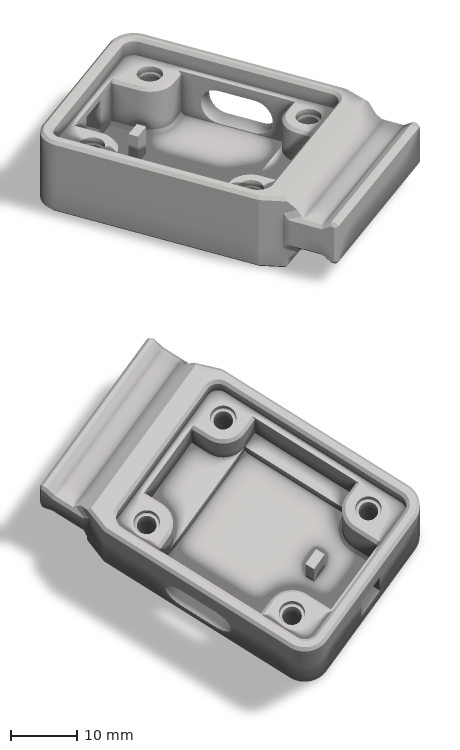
import cadquery as cq
import math

LENGTH = 50.65
WIDTH = 32.0
HEIGHT = 13.0
EDGE = 0.5
HALF_WIDTH = WIDTH / 2

CORNER_RADIUS = 4.0
TAPER_START_X = 38
TAPER_SLOPE = math.tan(math.radians(20))
FOOT_END_X = 42.05

RAIL_WIDTH = 30.0
RAIL_MID_Z = 7.2
RAIL_WEB_HALF = 2.8
RAIL_LIP_HALF = 3.8
RAIL_LIP_X = 49.5
RAIL_LIP_RUN = 1.5
GUSSET_END_X = 44.6
GUSSET_RUN = GUSSET_END_X - FOOT_END_X
RAIL_HALF_WIDTH = RAIL_WIDTH / 2
COLLAR = 0.6

RIM = 1.5
RECESS_END_X = 38.55
LEDGE_Z = 10.0

CAVITY_START_X = 2.9
CAVITY_END_X = 37.0
CAVITY_HALF_WIDTH = 13.0
FLOOR_Z = 2.0
STEP_Z = 4.0

POST_X = (7.45, 34.0)
POST_Y = 10.35
POST_RADIUS = 4.0
BORE_DIAMETER = 3.0
COUNTERBORE_DIAMETER = 4.0
COUNTERBORE_DEPTH = 1.0

WINDOW_WIDTH = 4.95
WINDOW_BOTTOM_Z = 3.25
WINDOW_TOP_Z = 8.8
SLOT_LENGTH = 12.0
SLOT_HEIGHT = 6.0
SLOT_MID_Z = 5.15
TAB_START_X = 9.4
TAB_THICKNESS = 1.55
TAB_WIDTH = 2.95
TAB_TOP_Z = 6.95


def box(x_range, y_range, z_range):
    """Axis-aligned block between pairs of limits."""
    (x0, x1), (y0, y1), (z0, z1) = x_range, y_range, z_range
    return cq.Workplane("XY").box(x1 - x0, y1 - y0, z1 - z0, centered=False).translate((x0, y0, z0))


def make_body():
    """Rounded block whose sides taper in towards the rail, ending in 45 degree gussets."""
    end_half = HALF_WIDTH - (GUSSET_END_X - TAPER_START_X) * TAPER_SLOPE
    foot_half = HALF_WIDTH - (FOOT_END_X - TAPER_START_X) * TAPER_SLOPE

    def block(end_x, half):
        outline = [
            (0, -HALF_WIDTH),
            (TAPER_START_X, -HALF_WIDTH),
            (end_x, -half),
            (end_x, half),
            (TAPER_START_X, HALF_WIDTH),
            (0, HALF_WIDTH),
        ]
        solid = cq.Workplane("XY").polyline(outline).close().extrude(HEIGHT)
        return solid.edges("|Z and <X").fillet(CORNER_RADIUS)

    foot = block(FOOT_END_X, foot_half).faces("<Z").edges().chamfer(EDGE)
    upper = block(GUSSET_END_X, end_half).faces(">Z").edges().chamfer(EDGE)

    web_top = RAIL_MID_Z + RAIL_WEB_HALF
    web_bottom = RAIL_MID_Z - RAIL_WEB_HALF
    foot_top = web_bottom - GUSSET_RUN
    side = [
        (0, foot_top),
        (FOOT_END_X, foot_top),
        (GUSSET_END_X, web_bottom),
        (GUSSET_END_X, web_top),
        (GUSSET_END_X - (HEIGHT - web_top), HEIGHT),
        (0, HEIGHT),
    ]
    profile = cq.Workplane("XZ").polyline(side).close().extrude(HALF_WIDTH, both=True)
    low = box((0, LENGTH), (-HALF_WIDTH, HALF_WIDTH), (0, foot_top))
    return upper.union(make_rail_root()).intersect(profile).union(foot.intersect(low))


def make_rail_root():
    """Inner end of the rail, whose side bevels run on at 45 degrees into the gussets."""
    bevel_z = RAIL_WEB_HALF - EDGE
    quarter = [
        (RAIL_HALF_WIDTH, bevel_z),
        (RAIL_HALF_WIDTH - GUSSET_RUN, bevel_z + GUSSET_RUN),
    ]
    section = quarter + [(-y, z) for y, z in reversed(quarter)]
    section += [(-y, -z) for y, z in section]
    start = cq.Workplane("YZ", origin=(FOOT_END_X, 0, RAIL_MID_Z))
    root = start.polyline(section).close().extrude(GUSSET_RUN)
    return root.edges("|Z and <X").chamfer(EDGE)


def make_rail():
    """Dovetail bar with chamfered ends and a chamfered outer face."""
    flare_x = RAIL_LIP_X - RAIL_LIP_RUN
    upper = [
        (FOOT_END_X, RAIL_WEB_HALF),
        (flare_x, RAIL_WEB_HALF),
        (RAIL_LIP_X, RAIL_LIP_HALF),
        (LENGTH, RAIL_LIP_HALF),
    ]
    lower = [(x, -z) for x, z in reversed(upper)]
    rail = cq.Workplane("XZ").polyline(upper + lower).close().extrude(RAIL_HALF_WIDTH, both=True)
    rail = rail.translate((0, 0, RAIL_MID_Z))
    rail = rail.faces(">X").edges("|Y").chamfer(EDGE)
    return rail.faces("<Y or >Y").edges().chamfer(EDGE)


def add_collar(part):
    """Chamfer the inside corners where the rail root meets the two tapered walls."""
    x_range = (FOOT_END_X, FOOT_END_X + GUSSET_RUN / 2)
    y_range = (RAIL_HALF_WIDTH - GUSSET_RUN / 2, RAIL_HALF_WIDTH - EDGE / 2)
    z_range = (RAIL_MID_Z - RAIL_LIP_HALF, RAIL_MID_Z + RAIL_LIP_HALF)
    for side in (-1, 1):
        low_corner = (x_range[0], side * y_range[0], z_range[0])
        high_corner = (x_range[1], side * y_range[1], z_range[1])
        part = part.edges(cq.selectors.BoxSelector(low_corner, high_corner)).chamfer(COLLAR)
    return part


def make_recess():
    """Shallow lid recess with rounded corners and a 45 degree bevelled mouth."""
    length = RECESS_END_X - RIM - 2 * EDGE
    width = WIDTH - 2 * (RIM + EDGE)
    radius = CORNER_RADIUS - RIM - EDGE
    outline = cq.Sketch().rect(length, width).vertices().fillet(radius)
    mid_x = (RIM + RECESS_END_X) / 2
    pocket = cq.Workplane("XY", origin=(mid_x, 0, LEDGE_Z)).placeSketch(outline).extrude(HEIGHT - LEDGE_Z)
    mouth = cq.Workplane("XY", origin=(mid_x, 0, HEIGHT - EDGE)).placeSketch(outline).extrude(EDGE, taper=-45)
    return pocket.union(mouth)


def post(x, y, radius, z_range):
    """Corner post block, rounded towards the middle of the cavity."""
    x_out = math.copysign(1, x - sum(POST_X) / 2)
    y_out = math.copysign(1, y)
    reach = CAVITY_HALF_WIDTH
    arc_mid = radius * math.sqrt(0.5)
    return (
        cq.Workplane("XY", origin=(x, y, z_range[0]))
        .moveTo(-x_out * radius, 0)
        .threePointArc((-x_out * arc_mid, -y_out * arc_mid), (0, -y_out * radius))
        .lineTo(x_out * reach, -y_out * radius)
        .lineTo(x_out * reach, y_out * reach)
        .lineTo(-x_out * radius, y_out * reach)
        .close()
        .extrude(z_range[1] - z_range[0])
    )


def make_cavity():
    """Cavity below the ledge, leaving the floor steps and corner posts standing."""
    x_range = (CAVITY_START_X, CAVITY_END_X)
    y_range = (-CAVITY_HALF_WIDTH, CAVITY_HALF_WIDTH)
    step_x = POST_X[1] - POST_RADIUS
    cavity = box(x_range, y_range, (STEP_Z, LEDGE_Z))
    well = box((CAVITY_START_X, step_x), (-POST_Y, CAVITY_HALF_WIDTH), (FLOOR_Z, STEP_Z))
    cavity = cavity.union(well)
    for x in POST_X:
        for y in (-POST_Y, POST_Y):
            head = post(x, y, POST_RADIUS, (0, LEDGE_Z)).faces(">Z").edges().chamfer(EDGE)
            foot = post(x, y, POST_RADIUS + EDGE, (FLOOR_Z - EDGE, FLOOR_Z + EDGE))
            foot = foot.faces(">Z").edges().chamfer(EDGE)
            cavity = cavity.cut(head).cut(foot)
    return cavity


def make_screw_holes():
    """Counterbored through holes on the post axes."""
    centres = [(x, y) for x in POST_X for y in (-POST_Y, POST_Y)]
    bores = cq.Workplane("XY").pushPoints(centres).circle(BORE_DIAMETER / 2).extrude(LEDGE_Z)
    counterbores = (
        cq.Workplane("XY", origin=(0, 0, LEDGE_Z - COUNTERBORE_DEPTH))
        .pushPoints(centres)
        .circle(COUNTERBORE_DIAMETER / 2)
        .extrude(COUNTERBORE_DEPTH)
    )
    return bores.union(counterbores)


def make_window():
    """Rectangular opening through the -X wall."""
    half = WINDOW_WIDTH / 2
    return box((0, CAVITY_START_X), (-half, half), (WINDOW_BOTTOM_Z, WINDOW_TOP_Z))


def make_slot():
    """Round-ended opening through the +Y wall, midway between the posts."""
    return (
        cq.Workplane("XZ", origin=(sum(POST_X) / 2, HALF_WIDTH, SLOT_MID_Z))
        .slot2D(SLOT_LENGTH, SLOT_HEIGHT)
        .extrude(HALF_WIDTH - CAVITY_HALF_WIDTH)
    )


def make_tab():
    """Small upright tab on the cavity floor behind the window."""
    half = TAB_WIDTH / 2
    return box((TAB_START_X, TAB_START_X + TAB_THICKNESS), (-half, half), (FLOOR_Z, TAB_TOP_Z))


result = (
    add_collar(make_body().union(make_rail()))
    .cut(make_recess())
    .cut(make_cavity())
    .cut(make_screw_holes())
    .cut(make_window())
    .cut(make_slot())
    .union(make_tab())
)